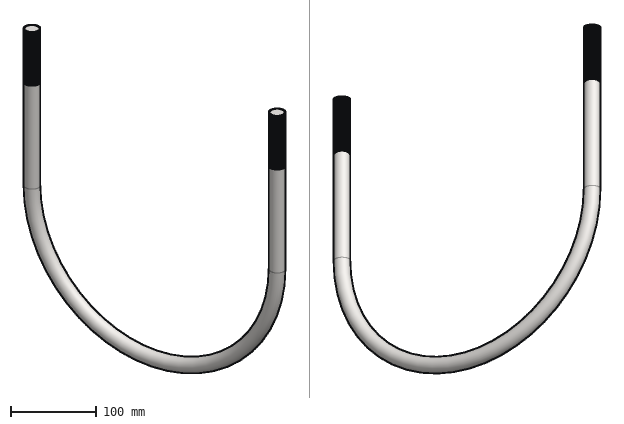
import cadquery as cq

ROD_DIAMETER = 20.0
OVERALL_WIDTH = 372.0
OVERALL_HEIGHT = 395.0
THREAD_PITCH = 1.0
THREAD_DEPTH = 1.0
THREAD_GROOVES = 72
CUT_CLEARANCE = 1.0

rod_radius = ROD_DIAMETER / 2
root_radius = rod_radius - THREAD_DEPTH
cutter_radius = rod_radius + CUT_CLEARANCE
bend_radius = (OVERALL_WIDTH - ROD_DIAMETER) / 2
leg_length = OVERALL_HEIGHT - OVERALL_WIDTH / 2


def bent_rod():
    """Round rod bent into a U, with the bend centre at the origin."""
    centre_line = (
        cq.Workplane("XZ")
        .moveTo(-bend_radius, leg_length)
        .lineTo(-bend_radius, 0)
        .threePointArc((0, -bend_radius), (bend_radius, 0))
        .lineTo(bend_radius, leg_length)
    )
    rod_end = cq.Workplane("XY", origin=(-bend_radius, 0, leg_length))
    return rod_end.circle(rod_radius).sweep(centre_line)


def thread_cutter(leg_x):
    """Ring-shaped V grooves standing in for the helical thread of one leg.

    The first groove is centred on the rod end, so the end face has the root
    diameter. The last groove runs out flush with the plain rod.
    """
    profile = cq.Workplane("XZ", origin=(leg_x, 0, leg_length)).moveTo(root_radius, 0)
    for groove in range(THREAD_GROOVES):
        root_z = -groove * THREAD_PITCH
        crest_z = root_z - THREAD_PITCH / 2
        if groove > 0:
            profile = profile.lineTo(root_radius, root_z)
        profile = profile.lineTo(rod_radius, crest_z)
    profile = profile.lineTo(cutter_radius, crest_z).lineTo(cutter_radius, 0).close()
    return profile.revolve(360, (0, 0, 0), (0, 1, 0))


u_bolt = bent_rod()
for leg_x in (-bend_radius, bend_radius):
    u_bolt = u_bolt.cut(thread_cutter(leg_x))

result = u_bolt.solids()